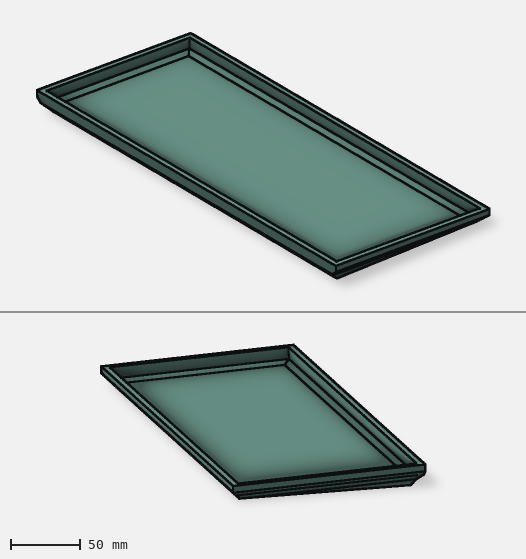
import cadquery as cq
import math

length = 335.5
width = 144.0
front_height = 17.0
tilt = 1.9
back_height = front_height - width * math.tan(math.radians(tilt))

side_wall_height = 5.0
side_bevel_inset = 8.7
side_bevel_height = 7.7
front_bevel = 8.5
back_bevel = back_height - side_wall_height

rim_width = 5.0
wall_depth = 8.7
border_width = 4.7
border_drop = 2.7

overshoot = 6.7

half_length = length / 2
half_width = width / 2


def make_body():
    """Sloped-top block with bevels under its front and back walls."""
    profile = [
        (-half_width + front_bevel, 0),
        (half_width - back_bevel, 0),
        (half_width, back_bevel),
        (half_width, back_height),
        (-half_width, front_height),
        (-half_width, front_bevel),
    ]
    return cq.Workplane("YZ").polyline(profile).close().extrude(half_length, both=True)


def follow_rim(cutter):
    """Tilt a cutter built with the rim at z = 0 and move it onto the sloping rim."""
    rim_middle = (front_height + back_height) / 2
    return cutter.rotate((0, 0, 0), (1, 0, 0), -tilt).translate((0, 0, rim_middle))


def make_side_bevel_cutter(side):
    """Prism under one end wall: a bevel above an upright inset face."""
    outer = side * (half_length + overshoot)
    inner = side * (half_length - side_bevel_inset)
    bevel_bottom = -side_wall_height - side_bevel_height
    bevel_top = -side_wall_height + overshoot * side_bevel_height / side_bevel_inset
    profile = [
        (outer, bevel_top),
        (inner, bevel_bottom),
        (inner, -front_height - overshoot),
        (outer, -front_height - overshoot),
    ]
    cutter = cq.Workplane("XZ").polyline(profile).close()
    return follow_rim(cutter.extrude(half_width + overshoot, both=True))


def make_recess():
    """Recess parallel to the rim, narrowing around its floor."""
    recess_length = length - 2 * rim_width
    recess_width = width - 2 * rim_width
    upper = (
        cq.Workplane("XY", origin=(0, 0, -wall_depth))
        .rect(recess_length, recess_width)
        .extrude(wall_depth + overshoot)
    )
    lower = (
        cq.Workplane("XY", origin=(0, 0, -wall_depth))
        .rect(recess_length, recess_width)
        .workplane(offset=-border_drop)
        .rect(recess_length - 2 * border_width, recess_width - 2 * border_width)
        .loft(ruled=True)
    )
    return follow_rim(upper.union(lower))


result = make_body()
for side in (-1, 1):
    result = result.cut(make_side_bevel_cutter(side))
result = result.cut(make_recess())